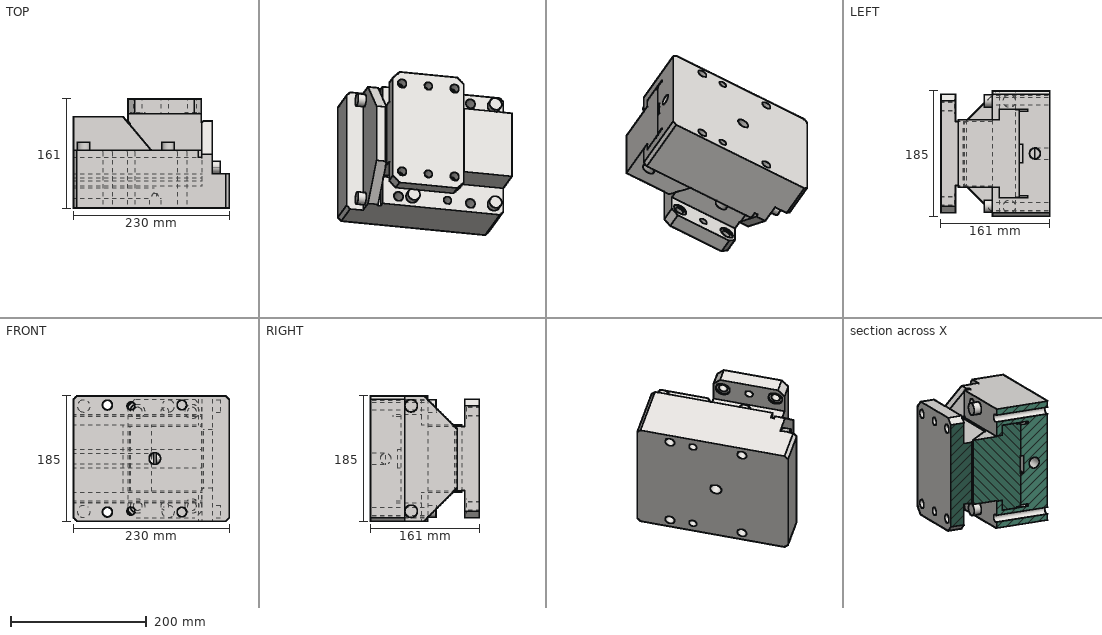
import cadquery as cq
import math


length = 230.0
width = 185.0
corner_chamfer = 5.3
deck_y = 85.0
foot_y = 51.0
heel_inner_x = 189.5
heel_outer_x = 205.0
heel_y = 128.5
heel_lead = 2.3
heel_shoulder_y = 79.1
relief_width = 5.3

slot_floor_y = 45.0
slot_flange_y = 75.0
flange_width = 130.6
neck_width = 100.0
side_groove_width = 2.8
side_groove_depth = 12.2
centre_groove_width = 26.7
centre_groove_depth = 5.0

mount_hole_dia = 14.0
mount_hole_xs = (50.1, 159.8)
mount_hole_z = 79.0
dowel_hole_dia = 11.5
dowel_hole_x = 85.0
dowel_hole_z = 77.5
spring_hole_dia = 15.9
spring_hole_y = 22.3
spring_hole_end_x = 118.2
spring_rod_start_x = 122.1
access_hole_dia = 17.0
access_hole_x = 120.0

screw_head_dia = 18.5
screw_head_height = 12.0
deck_screw_xs = (15.0, 139.4)
screw_z = 77.7
heel_screw_y = foot_y + screw_head_dia / 2

slide_top_y = 135.0
wedge_angle = 40.0
wedge_deck_x = 115.0
slide_edge_relief = 1.0
slide_edge_relief_height = 5.5

driver_y = 161.0
driver_neck_width = 94.8
driver_left_x = 80.3
driver_right_x = 188.5
plate_bottom_y = 139.0
plate_width = 175.3
plate_chamfer = 10.1
wedge_undercut = 1.4
wedge_undercut_end_y = 123.7
heel_contact_y = heel_y - heel_lead
plate_centre_x = (driver_left_x + driver_right_x) / 2
bolt_hole_dia = 12.9
spotface_dia = 21.2
spotface_depth = 2.3
bolt_spacing_x = 80.0
plate_hole_z = 69.7
plate_dowel_dia = 11.5


def box(x0, x1, y0, y1, z0, z1):
    return cq.Workplane("XY").box(x1 - x0, y1 - y0, z1 - z0, centered=False).translate((x0, y0, z0))


def centred_box(x0, x1, y0, y1, z_width):
    return box(x0, x1, y0, y1, -z_width / 2, z_width / 2)


def side_profile(points, z_width):
    """Prism with an XY outline, centred on Z = 0."""
    return cq.Workplane("XY").polyline(points).close().extrude(z_width / 2, both=True)


def cylinder_y(dia, x, z, y0, y1):
    return cq.Workplane(cq.Solid.makeCylinder(dia / 2, y1 - y0, cq.Vector(x, y0, z), cq.Vector(0, 1, 0)))


def cylinder_x(dia, y, z, x0, x1):
    return cq.Workplane(cq.Solid.makeCylinder(dia / 2, x1 - x0, cq.Vector(x0, y, z), cq.Vector(1, 0, 0)))


def wedge_x(y):
    """X of the wedge face at a given height."""
    return wedge_deck_x - (y - deck_y) * math.tan(math.radians(wedge_angle))


def t_bar():
    """T-shaped bar that fills the guide slot up to the deck."""
    flange = centred_box(0, heel_inner_x, slot_floor_y, slot_flange_y, flange_width)
    neck = centred_box(0, heel_inner_x, slot_flange_y, deck_y, neck_width)
    return flange.union(neck)


def heel_wall():
    """Stop wall with a lead-in at its inner top edge and 45 degree sides."""
    wall = side_profile([
        (heel_inner_x, 0),
        (heel_outer_x, 0),
        (heel_outer_x, heel_y),
        (heel_inner_x + heel_lead, heel_y),
        (heel_inner_x, heel_y - heel_lead),
    ], width)
    top_half_width = width / 2 - (heel_y - heel_shoulder_y)
    section = cq.Workplane("YZ").polyline([
        (0, -width / 2),
        (heel_shoulder_y, -width / 2),
        (heel_y, -top_half_width),
        (heel_y, top_half_width),
        (heel_shoulder_y, width / 2),
        (0, width / 2),
    ]).close().extrude(length)
    return wall.intersect(section)


def housing_block():
    foot = centred_box(0, length, 0, foot_y, width)
    strips = centred_box(0, heel_inner_x - relief_width, 0, deck_y, width)
    gap_floor = centred_box(heel_inner_x - relief_width, heel_inner_x, 0, slot_flange_y, width)
    block = foot.union(strips).union(gap_floor)
    block = block.edges("|Y").edges("<X or >X").chamfer(corner_chamfer)
    return block.union(heel_wall())


def slot_grooves():
    grooves = centred_box(0, heel_inner_x, slot_floor_y - centre_groove_depth, slot_floor_y,
                          centre_groove_width)
    outer_z = flange_width / 2
    inner_z = outer_z - side_groove_width
    for z0, z1 in ((inner_z, outer_z), (-outer_z, -inner_z)):
        grooves = grooves.union(
            box(0, heel_inner_x, slot_floor_y - side_groove_depth, slot_floor_y, z0, z1))
    return grooves


def make_housing():
    body = housing_block().cut(t_bar()).cut(slot_grooves())
    for side in (-1, 1):
        for x in mount_hole_xs:
            body = body.cut(cylinder_y(mount_hole_dia, x, side * mount_hole_z, 0, deck_y))
        body = body.cut(cylinder_y(dowel_hole_dia, dowel_hole_x, side * dowel_hole_z, 0, deck_y))
    body = body.cut(cylinder_y(access_hole_dia, access_hole_x, 0, 0, spring_hole_y))
    body = body.cut(cylinder_x(spring_hole_dia, spring_hole_y, 0, 0, spring_hole_end_x))
    rod_end_x = access_hole_x + access_hole_dia
    body = body.union(cylinder_x(spring_hole_dia, spring_hole_y, 0, spring_rod_start_x, rod_end_x))
    for side in (-1, 1):
        z = side * screw_z
        for x in deck_screw_xs:
            body = body.union(cylinder_y(screw_head_dia, x, z, deck_y, deck_y + screw_head_height))
        body = body.union(cylinder_x(screw_head_dia, heel_screw_y, z,
                                     heel_outer_x, heel_outer_x + screw_head_height))
    return body


def make_slide():
    wedge = side_profile([
        (0, deck_y),
        (wedge_deck_x, deck_y),
        (wedge_x(slide_top_y), slide_top_y),
        (0, slide_top_y),
    ], neck_width)
    slide = t_bar().union(wedge)
    outer_z = flange_width / 2
    inner_z = outer_z - slide_edge_relief
    for z0, z1 in ((inner_z, outer_z), (-outer_z, -inner_z)):
        slide = slide.cut(
            box(0, heel_inner_x, slot_floor_y, slot_floor_y + slide_edge_relief_height, z0, z1))
    return slide


def make_driver():
    undercut_top_y = deck_y + (wedge_deck_x + wedge_undercut - driver_left_x) / math.tan(
        math.radians(wedge_angle))
    neck = side_profile([
        (wedge_deck_x, deck_y),
        (heel_inner_x, deck_y),
        (heel_inner_x, heel_contact_y),
        (driver_right_x, heel_contact_y),
        (driver_right_x, plate_bottom_y),
        (driver_left_x, plate_bottom_y),
        (driver_left_x, undercut_top_y),
        (wedge_x(wedge_undercut_end_y) + wedge_undercut, wedge_undercut_end_y),
        (wedge_x(wedge_undercut_end_y), wedge_undercut_end_y),
    ], driver_neck_width)
    plate = centred_box(driver_left_x, driver_right_x, plate_bottom_y, driver_y, plate_width)
    plate = plate.edges("|Y").chamfer(plate_chamfer)
    driver = plate.union(neck)
    for z in (-plate_hole_z, plate_hole_z):
        driver = driver.cut(cylinder_y(plate_dowel_dia, plate_centre_x, z, plate_bottom_y, driver_y))
        for side in (-1, 1):
            x = plate_centre_x + side * bolt_spacing_x / 2
            driver = driver.cut(cylinder_y(bolt_hole_dia, x, z, plate_bottom_y, driver_y))
            driver = driver.cut(
                cylinder_y(spotface_dia, x, z, plate_bottom_y, plate_bottom_y + spotface_depth))
    return driver


housing = make_housing()
slide = make_slide()
driver = make_driver()

result = cq.Compound.makeCompound([
    housing.solids().val(),
    slide.solids().val(),
    driver.solids().val(),
])